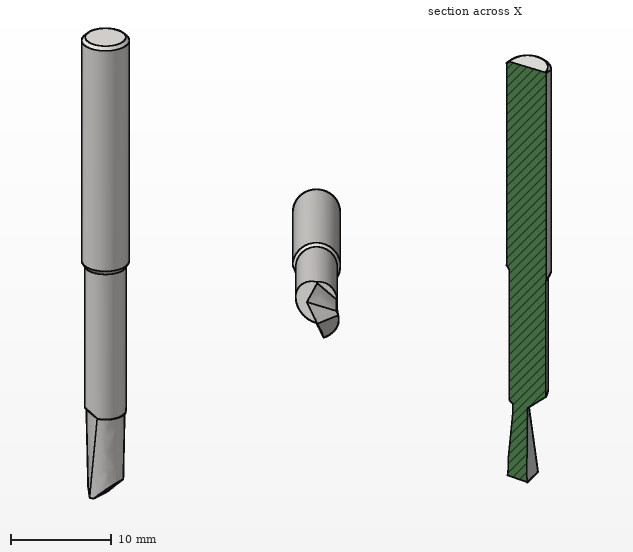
import cadquery as cq
import math

total_height = 50.8
shank_bottom = 25.85
neck_top = 25.35
blade_top = 9.15

shank_radius = 2.4
shank_flat_y = 2.15
top_chamfer = 0.35
neck_radius = 2.1
rake_runout_angle = 48.0
relief_runout_angle = 45.0

root_radius = 2.0
root_rake_angle = 27.0
root_heel_angle = 285.0
tip_radius = 2.3
tip_rake_angle = 0.0
tip_heel_angle = 265.0

end_clearance_angle = 3.0
corner_angle = 45.0
corner_start_x = 0.05

cutter_size = 15.25


def polar(radius, angle):
    return (radius * math.cos(math.radians(angle)), radius * math.sin(math.radians(angle)))


def block_along(origin, normal):
    """Cutting block standing on a plane and filling the side its normal points to."""
    plane = cq.Plane(origin=origin, normal=normal)
    return cq.Workplane(plane).rect(cutter_size, cutter_size).extrude(cutter_size)


def make_shank():
    """Chamfered round shank with a flat on +Y and a cone down to the neck."""
    profile = [
        (0, neck_top),
        (neck_radius, neck_top),
        (shank_radius, shank_bottom),
        (shank_radius, total_height - top_chamfer),
        (shank_radius - top_chamfer, total_height),
        (0, total_height),
    ]
    shank = cq.Workplane("XZ").polyline(profile).close().revolve(360, (0, 0), (0, 1))
    flat_width = 2 * shank_radius
    flat = (
        cq.Workplane("XY", origin=(0, shank_flat_y, neck_top))
        .rect(flat_width, flat_width)
        .extrude(total_height - neck_top)
        .translate((0, shank_radius, 0))
    )
    return shank.cut(flat)


def runout_cut(distance, angle, slope):
    """Sloping runout rising outward from a chord at the given distance from the axis."""
    origin = (*polar(distance, angle), blade_top)
    return block_along(origin, (*polar(math.tan(math.radians(slope)), angle), -1.0))


def make_neck():
    """Round neck, bevelled where the rake face and the relief face run out."""
    neck = (
        cq.Workplane("XY", origin=(0, 0, blade_top))
        .circle(neck_radius)
        .extrude(neck_top - blade_top)
    )
    cutting_edge_angle = root_rake_angle + 180
    relief_direction = (cutting_edge_angle + root_heel_angle) / 2
    relief_half_angle = (root_heel_angle - cutting_edge_angle) / 2
    relief_distance = root_radius * math.cos(math.radians(relief_half_angle))
    neck = neck.cut(runout_cut(0, root_rake_angle + 90, rake_runout_angle))
    return neck.cut(runout_cut(relief_distance, relief_direction, relief_runout_angle))


def blade_section(z, radius, rake_angle, heel_angle):
    """Half disc: straight rake face, straight relief face and a round back."""
    cutting_edge = polar(radius, rake_angle + 180)
    heel = polar(radius, heel_angle)
    back_middle = polar(radius, (heel_angle + rake_angle + 360) / 2)
    back_end = polar(radius, rake_angle)
    section = (
        cq.Workplane("XY", origin=(0, 0, z))
        .moveTo(*cutting_edge)
        .lineTo(*heel)
        .threePointArc(back_middle, back_end)
        .close()
    )
    return section.val()


def make_blade():
    """Twisted blade, ground with an end clearance and a 45 degree corner."""
    root = blade_section(blade_top, root_radius, root_rake_angle, root_heel_angle)
    tip = blade_section(0, tip_radius, tip_rake_angle, tip_heel_angle)
    blade = cq.Workplane(cq.Solid.makeLoft([tip, root], True))

    clearance = math.radians(end_clearance_angle)
    end_normal = (math.tan(clearance), -math.tan(clearance), -1.0)
    corner = math.radians(corner_angle)
    corner_normal = (math.sin(corner), 0, -math.cos(corner))
    blade = blade.cut(block_along((-tip_radius, 0, 0), end_normal))
    return blade.cut(block_along((corner_start_x, 0, 0), corner_normal))


result = make_shank().union(make_neck()).union(make_blade())